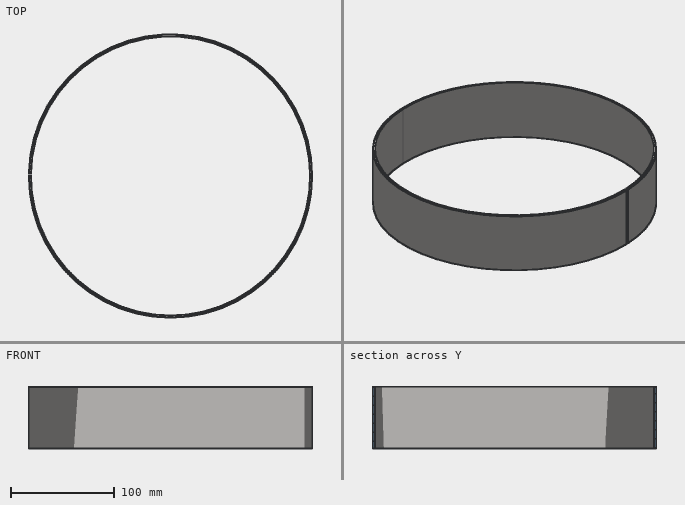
import cadquery as cq

outer_diameter = 275.0
height = 60.0
wall = 2.35
slit_width = 2.4
rim_chamfer = 0.5

outer_radius = outer_diameter / 2
inner_radius = outer_radius - wall


def make_band():
    """Tube standing on the XY plane, with its outer rims bevelled."""
    body = cq.Workplane("XY").circle(outer_radius).extrude(height)
    bore = cq.Workplane("XY").circle(inner_radius).extrude(height)
    return body.faces("<Z or >Z").edges().chamfer(rim_chamfer).cut(bore)


def make_slit():
    """Full-height cutter on the -X side, with one face on the XZ plane."""
    return cq.Workplane("XY").box(
        outer_radius, slit_width, height, centered=(False, False, False)
    ).translate((-outer_radius, 0, 0))


result = make_band().cut(make_slit())